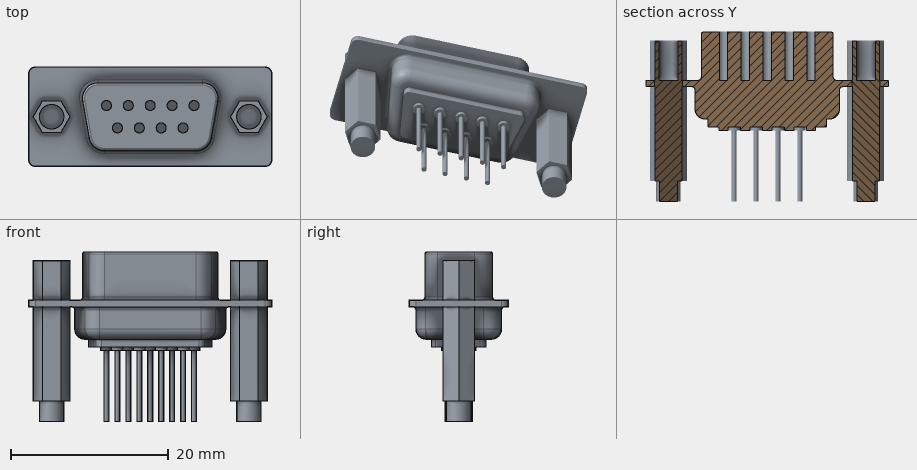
import cadquery as cq
import math


plate_length = 30.8
plate_width = 12.6
plate_thickness = 0.85
plate_corner_radius = 0.85

end_slope = math.radians(10)
shell_corner_radius = 1.97

front_width = 17.15
front_depth = 8.6
front_height = 6.1
front_top_fillet = 0.28
front_root_fillet = 0.37

rear_width = 19.15
rear_depth = 10.85
rear_height = 4.1
rear_bottom_fillet = 1.32
rear_root_fillet = 0.37
rear_narrow_corner_run = 1.6
rear_narrow_corner_rise = 1.23
rear_crease_radius = 0.03

insulator_width = 15.68
insulator_depth = 6.95
insulator_height = 1.0
insulator_corner_radius = 0.68

contact_pitch = 2.77
row_spacing = 2.83
back_row_count = 5
front_row_count = 4
socket_diameter = 1.25
socket_depth = front_height
collar_diameter = 1.48
collar_height = 0.45
pin_diameter = 0.65
pin_length = 8.97

jackscrew_spacing = 25.0
jackscrew_positions = (-jackscrew_spacing / 2, jackscrew_spacing / 2)
hex_across_flats = 4.05
hex_across_corners = hex_across_flats / math.cos(math.pi / 6)
hex_rise = 5.0
stud_diameter = 3.1
stud_length = 2.6
bore_diameter = stud_diameter
bore_depth = hex_rise

point_tolerance = 0.15

plate_bottom = -plate_thickness
rear_bottom = plate_bottom - rear_height
insulator_bottom = rear_bottom - insulator_height
collar_bottom = insulator_bottom - collar_height
pin_bottom = collar_bottom - pin_length
hex_bottom = pin_bottom + stud_length


def sharp_half_width(width, corner_radius):
    """Half width at +Y before the wide corners are rounded; width is over the rounded corners."""
    wide_corner_half_angle = math.pi / 4 - end_slope / 2
    return width / 2 + corner_radius * (1 / math.tan(wide_corner_half_angle) - 1)


def d_block(width, depth, corner_radius, bottom, height):
    """D-shaped block with its wide side at +Y and all four corners rounded alike."""
    half_wide = sharp_half_width(width, corner_radius)
    half_narrow = half_wide - depth * math.tan(end_slope)
    outline = [
        (-half_wide, depth / 2),
        (half_wide, depth / 2),
        (half_narrow, -depth / 2),
        (-half_narrow, -depth / 2),
    ]
    block = cq.Workplane("XY").workplane(offset=bottom).polyline(outline).close().extrude(height)
    return block.edges("|Z").fillet(corner_radius)


def rear_block():
    """Rear shell block: its narrow corner arcs leave the -Y wall smoothly and meet the ends at a crease."""
    half_wide = sharp_half_width(rear_width, shell_corner_radius)
    half_narrow = half_wide - rear_depth * math.tan(end_slope)
    arc_start = (half_narrow - rear_narrow_corner_run, -rear_depth / 2)
    arc_end = (
        half_narrow + rear_narrow_corner_rise * math.tan(end_slope),
        -rear_depth / 2 + rear_narrow_corner_rise,
    )
    block = (
        cq.Workplane("XY").workplane(offset=rear_bottom)
        .moveTo(0, -rear_depth / 2)
        .lineTo(*arc_start)
        .tangentArcPoint(arc_end, relative=False)
        .lineTo(half_wide, rear_depth / 2)
        .lineTo(0, rear_depth / 2)
        .mirrorY()
        .extrude(rear_height)
    )
    corner_edges = block.edges("|Z")
    wide_corners = corner_edges.filter(lambda edge: edge.Center().y > rear_depth / 2 - point_tolerance)
    block = wide_corners.fillet(shell_corner_radius)
    creases = block.edges("|Z").filter(lambda edge: abs(edge.Center().y - arc_end[1]) < point_tolerance)
    return creases.fillet(rear_crease_radius)


def contact_points():
    """Centres of the contacts: a row of five at +Y and a staggered row of four at -Y."""
    points = []
    for count, y in ((back_row_count, row_spacing / 2), (front_row_count, -row_spacing / 2)):
        for i in range(count):
            points.append(((i - (count - 1) / 2) * contact_pitch, y))
    return points


def hex_prism(bottom, height):
    """Hexagonal prism on the Z axis with two of its corners pointing along X."""
    return (
        cq.Workplane("XY").workplane(offset=bottom)
        .polygon(6, hex_across_corners).extrude(height)
    )


def root_edges(body, width, depth, level):
    """Edges where a shell of the given width and depth meets the plate face at the given level."""
    far_corner = (width / 2 + point_tolerance, depth / 2 + point_tolerance, level + point_tolerance)
    near_corner = (-width / 2 - point_tolerance, -depth / 2 - point_tolerance, level - point_tolerance)
    return body.edges(cq.selectors.BoxSelector(near_corner, far_corner, boundingbox=True))


def make_connector():
    plate = (
        cq.Workplane("XY").workplane(offset=plate_bottom)
        .rect(plate_length, plate_width).extrude(plate_thickness)
        .edges("|Z").fillet(plate_corner_radius)
    )

    front = d_block(front_width, front_depth, shell_corner_radius, 0, front_height)
    front = front.faces(">Z").edges().fillet(front_top_fillet)
    rear = rear_block()
    rear = rear.faces("<Z").edges().fillet(rear_bottom_fillet)
    body = plate.union(front).union(rear)
    body = root_edges(body, front_width, front_depth, 0).fillet(front_root_fillet)
    body = root_edges(body, rear_width, rear_depth, plate_bottom).fillet(rear_root_fillet)

    body = body.union(
        d_block(insulator_width, insulator_depth, insulator_corner_radius, insulator_bottom, insulator_height)
    )

    points = contact_points()
    collars = (
        cq.Workplane("XY").workplane(offset=insulator_bottom)
        .pushPoints(points).circle(collar_diameter / 2).extrude(-collar_height)
    )
    pins = (
        cq.Workplane("XY").workplane(offset=collar_bottom)
        .pushPoints(points).circle(pin_diameter / 2).extrude(-pin_length)
    )
    body = body.union(collars).union(pins)

    sockets = (
        cq.Workplane("XY").workplane(offset=front_height)
        .pushPoints(points).circle(socket_diameter / 2).extrude(-socket_depth)
    )
    body = body.cut(sockets)

    for x in jackscrew_positions:
        body = body.cut(hex_prism(plate_bottom, plate_thickness).translate((x, 0, 0)))
    return body


def make_jackscrew(x):
    """Hexagonal jackscrew with a blind bore at the top and a round stud at the bottom."""
    screw = hex_prism(hex_bottom, hex_rise - hex_bottom)
    stud = cq.Workplane("XY").workplane(offset=pin_bottom).circle(stud_diameter / 2).extrude(stud_length)
    bore = cq.Workplane("XY").workplane(offset=hex_rise).circle(bore_diameter / 2).extrude(-bore_depth)
    return screw.union(stud).cut(bore).translate((x, 0, 0))


connector = make_connector()
jackscrews = [make_jackscrew(x) for x in jackscrew_positions]

result = cq.Compound.makeCompound([connector.solids().val(), *[screw.solids().val() for screw in jackscrews]])